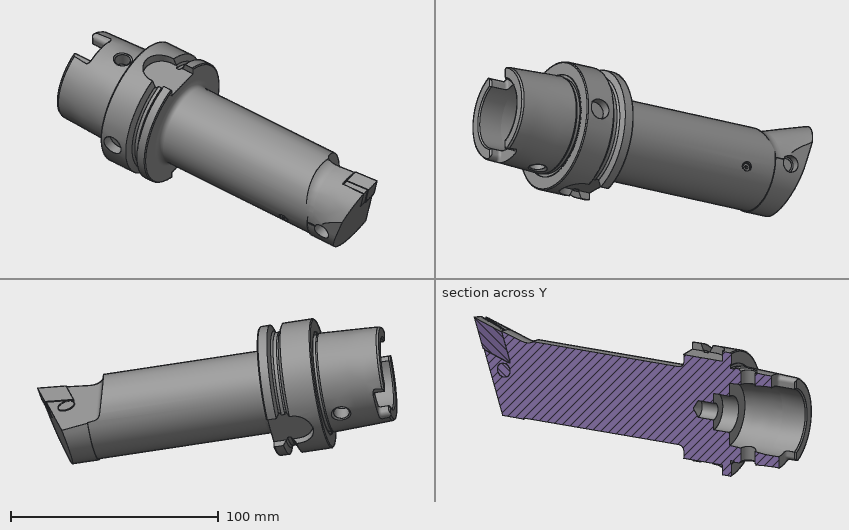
import cadquery as cq
import math


shank_rear_radius = 22.9
shank_front_radius = 24.0
shank_rear_chamfer = 1.0
shank_chamfer_drop = 0.5
shank_end = 29.7
relief_start = 30.6
relief_radius = 23.5
relief_outer_radius = 25.1
relief_undercut = 0.5
bore_radius = 17.2
bore_chamfer = 0.7
bore_straight_depth = 12.9
bore_floor_radius = 15.6
bore_floor = 32.7
thread_radius = 9.1
thread_depth = 8.6
coolant_radius = 4.1
coolant_depth = 8.6
drill_point_angle = 118.0
cross_hole_x = 22.7
cross_hole_radius = 3.8
cross_hole_sink_height = 22.9
cross_hole_sink_top = 25.0

slot_half_width = 6.4
slot_flat_height = 20.8
slot_top_depth = 9.8
slot_bottom_depth = 5.7
slot_edge_round = 2.2
slot_floor_fillet = 1.4
slot_mouth_chamfer = 0.9

flange_start = 31.6
flange_end = 57.8
flange_radius = 31.5
flange_chamfer = 0.5
groove_start = 46.4
groove_shoulder_start = 48.0
groove_floor_start = 49.0
groove_floor_end = 50.7
groove_shoulder_end = 51.7
groove_end = 53.0
groove_radius = 27.5
groove_shoulder_radius = 28.4
keyway_start = 36.6
keyway_half_width = 9.0
keyway_height = 26.5
chip_hole_x = 38.7
chip_hole_radius = 5.0
chip_hole_depth = 5.2

bar_radius = 20.0
bar_root_fillet = 2.8
head_start = 144.9
head_radius = 20.5
top_slope = 17.0
cone_tilt = 8.5
tool_length = 171.9
tip_height = 27.2
neck_top_x = 145.8
neck_blend_radius = 7.7
neck_blend_lead = 47.0

rake_slope_x = 0.115
rake_slope_z = 0.215
rake_recess = 0.5
back_wall_x = 135.8
back_wall_lean = 17.0
back_wall_rake = 4.0
back_wall_fillet = 3.8

insert_edge = 15.5
insert_angle = 55.0
insert_thickness = 6.4
insert_overhang = 0.5
shim_thickness = 3.0
screw_x = 156.5
screw_z = 4.1
screw_radius = 3.3
screw_head_radius = 4.1
screw_head_depth = 2.0
screw_head_rise = 0.5
screw_length = 21.1
screw_access_radius = 4.1

set_screw_x = 129.8
set_screw_z = -7.4
set_screw_radius = 1.9
set_screw_seat = -18.0
set_screw_length = 5.2
set_screw_hex = 1.7
set_screw_hex_depth = 1.4
set_screw_mouth_radius = 2.4

clear = 68.8
slope = math.radians(top_slope)
tilt = math.radians(cone_tilt)
cone_growth = slope - tilt
tip = cq.Vector(tool_length, 0, tip_height)
rake_normal = cq.Vector(rake_slope_x, 1, rake_slope_z).normalized()
top_edge = cq.Vector(
    -math.cos(slope),
    rake_slope_x * math.cos(slope) + rake_slope_z * math.sin(slope),
    -math.sin(slope),
)
rake_plane = cq.Plane(origin=tip, xDir=top_edge, normal=rake_normal)
neck_top_z = tip_height - (tool_length - neck_top_x) * math.tan(slope)
neck_x = neck_top_x + bar_radius * math.sin(tilt)
neck_z = neck_top_z - bar_radius * math.cos(tilt)
cone_plane = cq.Plane(
    origin=(neck_x, 0, neck_z), xDir=(math.cos(tilt), 0, math.sin(tilt)), normal=(0, -1, 0)
)


def rake_y(x, z):
    """Y of the rake face at a given X and Z."""
    return rake_slope_x * (tool_length - x) + rake_slope_z * (tip_height - z)


screw_y = rake_y(screw_x, screw_z) - rake_recess
screw_plane = cq.Plane(origin=(screw_x, screw_y, screw_z), xDir=top_edge, normal=rake_normal)


def x_cylinder(radius, start, end):
    return cq.Workplane("YZ").workplane(offset=start).circle(radius).extrude(end - start)


def block(x0, x1, y0, y1, z0, z1):
    return cq.Workplane("XY").box(x1 - x0, y1 - y0, z1 - z0, centered=False).translate((x0, y0, z0))


def turned_body():
    """Shank, flange and bar as one solid of revolution."""
    outline = (
        cq.Workplane("XY")
        .moveTo(0, 0)
        .lineTo(0, shank_rear_radius - shank_chamfer_drop)
        .lineTo(shank_rear_chamfer, shank_rear_radius)
        .lineTo(shank_end, shank_front_radius)
        .lineTo(relief_start, relief_radius)
        .lineTo(flange_start + relief_undercut, relief_radius)
        .lineTo(flange_start + relief_undercut, relief_outer_radius)
        .lineTo(flange_start, relief_outer_radius)
        .lineTo(flange_start, flange_radius - flange_chamfer)
        .lineTo(flange_start + flange_chamfer, flange_radius)
        .lineTo(groove_start, flange_radius)
        .lineTo(groove_shoulder_start, groove_shoulder_radius)
        .lineTo(groove_floor_start, groove_radius)
        .lineTo(groove_floor_end, groove_radius)
        .lineTo(groove_shoulder_end, groove_shoulder_radius)
        .lineTo(groove_end, flange_radius)
        .lineTo(flange_end - flange_chamfer, flange_radius)
        .lineTo(flange_end, flange_radius - flange_chamfer)
        .lineTo(flange_end, bar_radius + bar_root_fillet)
        .radiusArc((flange_end + bar_root_fillet, bar_radius), -bar_root_fillet)
        .lineTo(head_start, bar_radius)
        .lineTo(head_start, 0)
        .close()
    )
    return outline.revolve(360, (0, 0, 0), (1, 0, 0))


def shank_bore():
    """Hollow of the shank, then a threaded bore and a drilled coolant hole."""
    thread_end = bore_floor + thread_depth
    coolant_end = thread_end + coolant_depth
    drill_point = coolant_radius / math.tan(math.radians(drill_point_angle / 2))
    outline = cq.Workplane("XY").polyline([
        (0, 0),
        (0, bore_radius + bore_chamfer),
        (bore_chamfer, bore_radius),
        (bore_straight_depth, bore_radius),
        (bore_floor, bore_floor_radius),
        (bore_floor, thread_radius),
        (thread_end, thread_radius),
        (thread_end, coolant_radius),
        (coolant_end, coolant_radius),
        (coolant_end + drill_point, 0),
    ]).close()
    return outline.revolve(360, (0, 0, 0), (1, 0, 0))


def drive_slot(side, depth):
    """Slot through the shank wall at +Z or -Z, with the outside of the wall cut to a flat."""
    round_start = slot_flat_height - slot_edge_round
    arc_offset = slot_edge_round * (1 - math.sqrt(0.5))
    round_end = slot_half_width + slot_edge_round
    channel = (
        cq.Workplane("YZ")
        .moveTo(-slot_half_width, 0)
        .lineTo(-slot_half_width, round_start)
        .threePointArc(
            (-slot_half_width - arc_offset, slot_flat_height - arc_offset),
            (-round_end, slot_flat_height),
        )
        .lineTo(-clear, slot_flat_height)
        .lineTo(-clear, clear)
        .lineTo(clear, clear)
        .lineTo(clear, slot_flat_height)
        .lineTo(round_end, slot_flat_height)
        .threePointArc(
            (slot_half_width + arc_offset, slot_flat_height - arc_offset),
            (slot_half_width, round_start),
        )
        .lineTo(slot_half_width, 0)
        .close()
        .extrude(depth)
    )
    channel = channel.edges("|Z and >X").fillet(slot_floor_fillet)
    mouth_half = slot_half_width + slot_mouth_chamfer
    mouth = (
        cq.Workplane("XY")
        .polyline([
            (0, -mouth_half),
            (slot_mouth_chamfer, -slot_half_width),
            (slot_mouth_chamfer, slot_half_width),
            (0, mouth_half),
        ])
        .close()
        .extrude(clear)
    )
    slot = channel.union(mouth)
    return slot if side > 0 else slot.mirror("XY")


def keyway(side):
    """Round-ended flat milled across the flange at +Z or -Z."""
    centre = keyway_start + keyway_half_width
    cutter = (
        cq.Workplane("XY")
        .workplane(offset=keyway_height)
        .moveTo(flange_end, -keyway_half_width)
        .lineTo(centre, -keyway_half_width)
        .threePointArc((keyway_start, 0), (centre, keyway_half_width))
        .lineTo(flange_end, keyway_half_width)
        .close()
        .extrude(clear)
    )
    return cutter if side > 0 else cutter.mirror("XY")


def cross_hole():
    """Hole through both shank walls, countersunk outside."""
    sink_radius = cross_hole_radius + cross_hole_sink_top - cross_hole_sink_height
    outline = cq.Workplane("YZ").polyline([
        (0, -cross_hole_sink_top),
        (sink_radius, -cross_hole_sink_top),
        (cross_hole_radius, -cross_hole_sink_height),
        (cross_hole_radius, cross_hole_sink_height),
        (sink_radius, cross_hole_sink_top),
        (0, cross_hole_sink_top),
    ]).close()
    return outline.revolve(360, (0, 0, 0), (0, 1, 0)).translate((cross_hole_x, 0, 0))


def chip_hole():
    """Shallow round recess in the -Y side of the flange."""
    return (
        cq.Workplane("XZ", origin=(chip_hole_x, chip_hole_depth - flange_radius, 0))
        .circle(chip_hole_radius)
        .extrude(clear)
    )


def neck_cutter():
    """Removes all outside the tilted cone of the upper head and its concave blend to the bar."""
    centre_x = -neck_blend_radius * math.sin(cone_growth)
    centre_y = bar_radius + neck_blend_radius * math.cos(cone_growth)

    def blend_point(angle):
        return (
            centre_x + neck_blend_radius * math.sin(angle),
            centre_y - neck_blend_radius * math.cos(angle),
        )

    lead = -math.radians(neck_blend_lead)
    end = blend_point(lead)
    return (
        cq.Workplane(cone_plane)
        .moveTo(clear, bar_radius + clear * math.tan(cone_growth))
        .lineTo(0, bar_radius)
        .threePointArc(blend_point((lead + cone_growth) / 2), end)
        .lineTo(end[0], clear)
        .lineTo(clear, clear)
        .close()
        .revolve(360, (0, 0, 0), (1, 0, 0))
        .intersect(block(0, 2 * tool_length, -clear, clear, 0, clear))
    )


def head_blank():
    """Flat-sided block above the tool axis, round head below it."""
    above = block(head_start, tool_length, -head_radius, head_radius, 0, tip_height)
    below = block(head_start, tool_length, -clear, clear, -clear, 0)
    round_part = x_cylinder(head_radius, head_start, tool_length)
    return above.union(round_part.intersect(below))


def end_face_cutter():
    """Everything in front of the end face, which lies just behind the insert's second edge."""
    angle = math.radians(insert_angle)
    along = (math.cos(angle), -math.sin(angle))
    ahead = (-math.sin(angle), -math.cos(angle))
    reaches = [
        (-clear, -insert_overhang),
        (clear, -insert_overhang),
        (clear, clear),
        (-clear, clear),
    ]
    corners = [(along[0] * a + ahead[0] * b, along[1] * a + ahead[1] * b) for a, b in reaches]
    return cq.Workplane(rake_plane).polyline(corners).close().extrude(clear, both=True)


def rake_cutter():
    """Clears the +Y side of the head down to the rake face, rounded into the back wall."""
    floor_plane = cq.Workplane(rake_plane).workplane(offset=-rake_recess)
    in_front_of_rake = floor_plane.rect(4 * clear, 4 * clear).extrude(2 * clear)
    lean = math.tan(math.radians(back_wall_lean))
    wall_plane = cq.Plane(
        origin=(back_wall_x, bar_radius, 0),
        xDir=(-lean, 1, 0),
        normal=(1, lean, math.tan(math.radians(back_wall_rake))),
    )
    ahead_of_wall = cq.Workplane(wall_plane).rect(4 * clear, 4 * clear).extrude(2 * clear)
    cutter = in_front_of_rake.intersect(ahead_of_wall)
    corner = cq.selectors.NearestToPointSelector(
        (back_wall_x + (bar_radius - rake_y(back_wall_x, 0)) * lean, rake_y(back_wall_x, 0), 0)
    )
    return cutter.edges(corner).fillet(back_wall_fillet)


def insert_pocket():
    """Seat for insert and shim, open at the top and at the end of the head."""
    angle = math.radians(insert_angle)
    back = (insert_edge + insert_edge * math.cos(angle), -insert_edge * math.sin(angle))
    return (
        cq.Workplane(rake_plane)
        .polyline([
            back,
            (back[0] - clear, back[1]),
            (back[0] - clear, clear),
            (insert_edge, clear),
            (insert_edge, 0),
        ])
        .close()
        .extrude(-insert_thickness - shim_thickness)
    )


def screw_bore():
    """Bore for the clamp screw, with a wider access bore from the -Y side."""
    shank = cq.Workplane(screw_plane).circle(screw_radius).extrude(-screw_length)
    seat = cq.Workplane(screw_plane).circle(screw_head_radius).extrude(-screw_head_depth)
    access = (
        cq.Workplane(screw_plane)
        .workplane(offset=-screw_length)
        .circle(screw_access_radius)
        .extrude(-clear)
    )
    return shank.union(seat).union(access)


def set_screw_hole():
    """Blind hole in the -Y side with a wider mouth."""
    end_y = set_screw_seat + set_screw_length
    hole = (
        cq.Workplane("XZ", origin=(set_screw_x, end_y, set_screw_z))
        .circle(set_screw_radius)
        .extrude(clear)
    )
    mouth = (
        cq.Workplane("XZ", origin=(set_screw_x, set_screw_seat, set_screw_z))
        .circle(set_screw_mouth_radius)
        .extrude(clear)
    )
    return hole.union(mouth)


def make_holder():
    body = turned_body().union(head_blank()).cut(neck_cutter())
    body = body.cut(end_face_cutter()).cut(rake_cutter()).cut(insert_pocket())
    body = body.cut(screw_bore()).cut(set_screw_hole())
    body = body.cut(shank_bore()).cut(cross_hole()).cut(chip_hole())
    for side, depth in ((1, slot_top_depth), (-1, slot_bottom_depth)):
        body = body.cut(drive_slot(side, depth)).cut(keyway(side))
    return body


def rhombic_plate(top, thickness, setback):
    """Rhombic plate under the rake face; setback moves its two free edges inwards."""
    angle = math.radians(insert_angle)
    reach = insert_edge - setback / math.sin(angle)
    slant = (math.cos(angle), -math.sin(angle))
    back = (insert_edge * (1 + slant[0]), insert_edge * slant[1])
    return (
        cq.Workplane(rake_plane)
        .workplane(offset=-top)
        .polyline([
            back,
            (back[0] - reach, back[1]),
            (back[0] - reach - reach * slant[0], back[1] - reach * slant[1]),
            (back[0] - reach * slant[0], back[1] - reach * slant[1]),
        ])
        .close()
        .extrude(-thickness)
    )


def make_insert():
    return rhombic_plate(0, insert_thickness, 0)


def make_shim():
    return rhombic_plate(insert_thickness, shim_thickness, insert_overhang)


def make_clamp_screw():
    shank = cq.Workplane(screw_plane).circle(screw_radius).extrude(-screw_length)
    head = (
        cq.Workplane(screw_plane)
        .workplane(offset=-screw_head_depth)
        .circle(screw_head_radius)
        .extrude(screw_head_depth + screw_head_rise)
    )
    return shank.union(head)


def make_set_screw():
    body = (
        cq.Workplane("XZ", origin=(set_screw_x, set_screw_seat, set_screw_z))
        .circle(set_screw_radius)
        .extrude(-set_screw_length)
    )
    socket = (
        cq.Workplane("XZ", origin=(set_screw_x, set_screw_seat, set_screw_z))
        .polygon(6, set_screw_hex)
        .extrude(-set_screw_hex_depth)
    )
    return body.cut(socket)


holder = make_holder()
insert = make_insert()
shim = make_shim()
clamp_screw = make_clamp_screw()
set_screw = make_set_screw()

result = cq.Compound.makeCompound(
    [holder.val(), insert.val(), shim.val(), clamp_screw.val(), set_screw.val()]
)